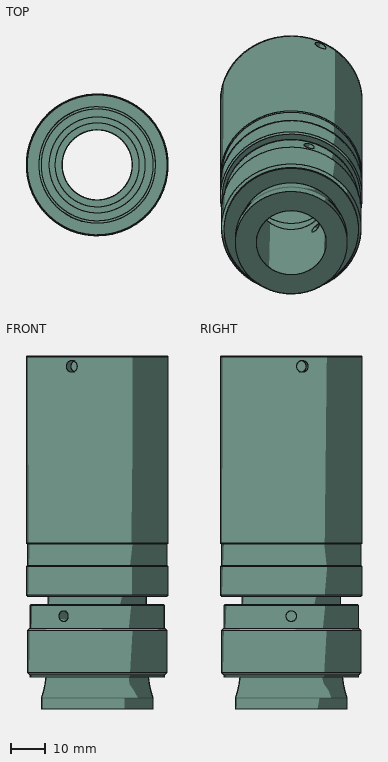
import cadquery as cq
import math

total_height = 101.0
housing_diameter = 40.6
grip_diameter = 40.0
collar_diameter = 38.5

housing_bottom = 32.1
housing_top_chamfer = 0.3
housing_bottom_chamfer = 0.5
band_edge_chamfer = 0.3
band_bottom = 41.0
band_top = 47.2
mouth_diameter = 33.3
mouth_depth = 10.0
bore_diameter = 32.0
floor_level = band_bottom
housing_screw_diameter = 3.3
housing_screw_drop = 3.0
housing_screw_angle = 9.0

spigot_diameter = 27.5
neck_diameter = 28.2
collar_top = 29.9
collar_top_chamfer = 0.3
grip_top = 23.0
grip_bottom = 9.7
collar_bottom = 9.1
grip_top_chamfer = 0.6
flare_top_diameter = 29.4
foot_diameter = 32.0
foot_height = 3.1
flare_sag = 0.2
counterbore_diameter = 24.0
counterbore_bottom = housing_bottom
through_diameter = 20.0
collar_screw_diameter = 3.0
collar_screw_level = 26.6
collar_screw_angle = 0.0

screws_per_ring = 3


def cylinder(diameter, bottom, top):
    """A vertical cylinder on the Z axis."""
    return cq.Workplane("XY", origin=(0, 0, bottom)).circle(diameter / 2).extrude(top - bottom)


def radial_holes(diameter, level, first_angle):
    """Cutters for equally spaced holes from the axis outward."""
    cutters = cq.Workplane("XY")
    for index in range(screws_per_ring):
        angle = math.radians(first_angle + index * 360 / screws_per_ring)
        direction = cq.Vector(math.cos(angle), math.sin(angle), 0)
        hole = cq.Solid.makeCylinder(diameter / 2, housing_diameter, cq.Vector(0, 0, level), direction)
        cutters = cutters.add(hole)
    return cutters.combine()


def make_housing():
    lower_ring = cylinder(housing_diameter, housing_bottom, band_bottom)
    lower_ring = lower_ring.faces("<Z").chamfer(housing_bottom_chamfer)
    lower_ring = lower_ring.faces(">Z").chamfer(band_edge_chamfer)
    band = cylinder(grip_diameter, band_bottom, band_top)
    barrel = cylinder(housing_diameter, band_top, total_height)
    barrel = barrel.faces(">Z").chamfer(housing_top_chamfer)
    barrel = barrel.faces("<Z").chamfer(band_edge_chamfer)
    body = lower_ring.union(band).union(barrel)

    body = body.cut(cylinder(mouth_diameter, total_height - mouth_depth, total_height))
    body = body.cut(cylinder(bore_diameter, floor_level, total_height))
    body = body.cut(cylinder(spigot_diameter, housing_bottom, floor_level))

    screw_level = total_height - housing_screw_drop
    return body.cut(radial_holes(housing_screw_diameter, screw_level, housing_screw_angle))


def make_flared_foot():
    """Concave flare widening down to a short cylindrical foot."""
    top_radius = flare_top_diameter / 2
    foot_radius = foot_diameter / 2
    middle_radius = (top_radius + foot_radius) / 2 - flare_sag
    middle_level = (collar_bottom + foot_height) / 2
    return (
        cq.Workplane("XZ")
        .lineTo(foot_radius, 0)
        .lineTo(foot_radius, foot_height)
        .threePointArc((middle_radius, middle_level), (top_radius, collar_bottom))
        .lineTo(0, collar_bottom)
        .close()
        .revolve()
    )


def make_nosepiece():
    grip_bottom_chamfer = (grip_diameter - collar_diameter) / 2
    grip = cylinder(grip_diameter, grip_bottom, grip_top)
    grip = grip.faces(">Z").chamfer(grip_top_chamfer)
    grip = grip.faces("<Z").chamfer(grip_bottom_chamfer)

    collar = cylinder(collar_diameter, collar_bottom, collar_top)
    collar = collar.faces(">Z").chamfer(collar_top_chamfer)
    neck = cylinder(neck_diameter, collar_bottom, housing_bottom)
    spigot = cylinder(spigot_diameter, collar_bottom, floor_level)
    body = make_flared_foot().union(grip).union(collar).union(neck).union(spigot)

    body = body.cut(cylinder(through_diameter, 0, floor_level))
    body = body.cut(cylinder(counterbore_diameter, counterbore_bottom, floor_level))
    return body.cut(radial_holes(collar_screw_diameter, collar_screw_level, collar_screw_angle))


housing = make_housing()
nosepiece = make_nosepiece()
result = cq.Compound.makeCompound([housing.solids().val(), nosepiece.solids().val()])